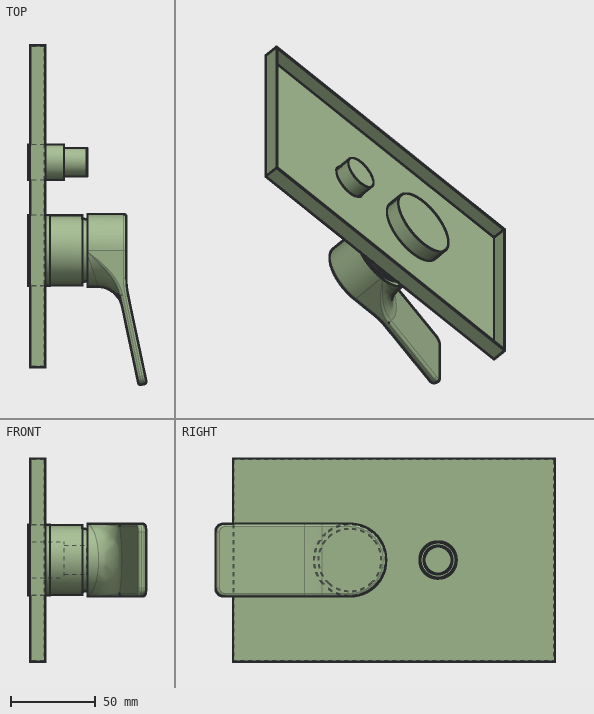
import cadquery as cq
import math


sleeve_rear = 0.0
plate_rear = 1.2
plate_front = 10.25
ring_front = 12.8
button_sleeve_front = 21.2
button_front = 35.0
lever_sleeve_front = 32.0
handle_rear = 35.0
handle_front = 58.0

plate_length = 190.0
plate_height = 120.0
plate_wall = 0.8
axis_offset = 26.0
button_hole_diameter = 21.8

button_sleeve_diameter = 21.0
button_diameter = 17.0
button_chamfer = 0.5

ring_diameter = 42.0
lever_sleeve_diameter = 41.5
neck_sphere_radius = 18.9
neck_sphere_x = 30.0

handle_width = 43.0
handle_radius = handle_width / 2
lever_angle = math.radians(11.95)
lever_thickness = 5.0
lever_reach = 79.6
bend_start = 16.3
bend_radius = 50.0
blend_radius = 14.0
tip_corner_radius = 5.0
edge_radius = 1.8
handle_length = handle_radius + lever_reach


def cylinder(x_start, x_end, diameter, y):
    """Solid cylinder along X between two stations."""
    return cq.Workplane("YZ", origin=(x_start, y, 0)).circle(diameter / 2).extrude(x_end - x_start)


def make_plate():
    """Rectangular tray, open at the rear, with one hole for each control."""
    depth = plate_front - plate_rear
    plate = (
        cq.Workplane("YZ", origin=(plate_rear, 0, 0))
        .rect(plate_length, plate_height)
        .extrude(depth)
        .faces("<X")
        .shell(-plate_wall)
    )
    button_hole = cylinder(plate_rear, plate_front, button_hole_diameter, axis_offset)
    ring_hole = cylinder(plate_rear, plate_front, ring_diameter, -axis_offset)
    return plate.cut(button_hole).cut(ring_hole)


def make_button_sleeve():
    return cylinder(sleeve_rear, button_sleeve_front, button_sleeve_diameter, axis_offset)


def make_button():
    button = cylinder(button_sleeve_front, button_front, button_diameter, axis_offset)
    return button.faces(">X").chamfer(button_chamfer)


def make_ring():
    """Thin ring between the plate and the lever sleeve."""
    ring = cylinder(sleeve_rear, ring_front, ring_diameter, -axis_offset)
    return ring.cut(cylinder(sleeve_rear, ring_front, lever_sleeve_diameter, -axis_offset))


def make_lever_sleeve():
    return cylinder(sleeve_rear, lever_sleeve_front, lever_sleeve_diameter, -axis_offset)


def lever_blank(width):
    """Lever profile over the hub and down the slope, extruded symmetrically along Z."""
    along_x = math.sin(lever_angle)
    along_y = -math.cos(lever_angle)

    bend_mid_x = handle_front + bend_radius * (1 - math.cos(lever_angle / 2))
    bend_mid_y = -bend_start - bend_radius * math.sin(lever_angle / 2)
    bend_end_x = handle_front + bend_radius * (1 - math.cos(lever_angle))
    bend_end_y = -bend_start - bend_radius * math.sin(lever_angle)

    rear_tip_y = -lever_reach
    front_tip_y = rear_tip_y + lever_thickness * along_x
    front_tip_x = bend_end_x + (front_tip_y - bend_end_y) * along_x / along_y
    rear_tip_x = front_tip_x + lever_thickness * along_y

    far_y = handle_width
    far_x = rear_tip_x + (far_y - rear_tip_y) * along_x / along_y

    return (
        cq.Workplane("XY", origin=(0, -axis_offset, -width / 2))
        .moveTo(handle_front, far_y)
        .lineTo(handle_front, -bend_start)
        .threePointArc((bend_mid_x, bend_mid_y), (bend_end_x, bend_end_y))
        .lineTo(front_tip_x, front_tip_y)
        .lineTo(rear_tip_x, rear_tip_y)
        .lineTo(far_x, far_y)
        .close()
        .extrude(width)
    )


def handle_outline():
    """Column along X: half round over the hub, with straight sides down the lever."""
    return (
        cq.Workplane("YZ", origin=(handle_rear, -axis_offset, 0))
        .moveTo(0, handle_radius)
        .threePointArc((handle_radius, 0), (0, -handle_radius))
        .lineTo(-handle_length, -handle_radius)
        .lineTo(-handle_length, handle_radius)
        .close()
        .extrude(handle_length)
    )


def tip_region():
    """Selects what lies wholly within the end of the lever."""
    tip_y = -axis_offset - lever_reach
    return cq.selectors.BoxSelector(
        (handle_front, tip_y - lever_thickness, -handle_width),
        (handle_front + handle_length, tip_y + lever_thickness / 2, handle_width),
        boundingbox=True,
    )


def neck_zone():
    """Zone of a sphere that fills the gap between the lever sleeve and the hub."""
    neck_mid = (lever_sleeve_front + handle_rear) / 2

    def neck_point(x):
        return (x, math.sqrt(neck_sphere_radius**2 - (x - neck_sphere_x)**2))

    return (
        cq.Workplane("XY", origin=(0, -axis_offset, 0))
        .moveTo(lever_sleeve_front, 0)
        .lineTo(*neck_point(lever_sleeve_front))
        .threePointArc(neck_point(neck_mid), neck_point(handle_rear))
        .lineTo(handle_rear, 0)
        .close()
        .revolve(360, (0, 0, 0), (1, 0, 0))
    )


def make_handle():
    """Round hub that blends into a flat lever sloping away from the plate, with its neck."""
    hub = cylinder(sleeve_rear, handle_front - edge_radius, handle_width, -axis_offset)
    handle = lever_blank(2 * handle_width).union(hub)
    handle = handle.edges("%ELLIPSE").fillet(blend_radius)
    handle = handle.intersect(handle_outline())

    handle = handle.edges(tip_region()).edges("#Z").fillet(tip_corner_radius)

    handle = handle.edges(tip_region()).edges("|Z").fillet(edge_radius)
    return handle.union(neck_zone())


plate = make_plate()
button_sleeve = make_button_sleeve()
button = make_button()
ring = make_ring()
lever_sleeve = make_lever_sleeve()
handle = make_handle()

result = cq.Compound.makeCompound([
    plate.val(),
    button_sleeve.val(),
    button.val(),
    ring.val(),
    lever_sleeve.val(),
    handle.val(),
])